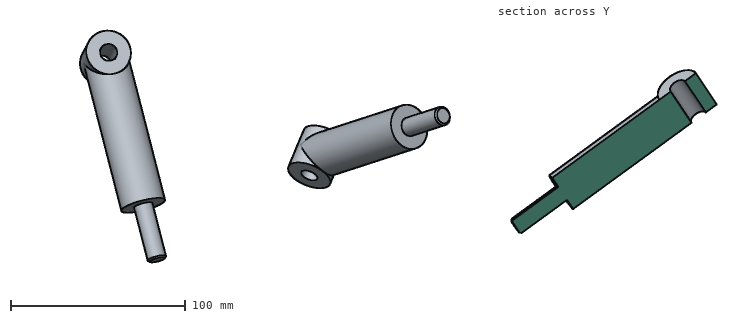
import cadquery as cq

body_diameter = 26.0
body_radius = body_diameter / 2
tilt = 30.0

arm_end = 89.5
shank_end = 122.7

shank_diameter = 11.0
shank_chamfer = 1.0
bore_diameter = 10.0


def rod_along_x(start, end, diameter):
    """Round rod centred on the X axis."""
    return cq.Workplane("YZ", origin=(start, 0, 0)).circle(diameter / 2).extrude(end - start)


def upright_rod(diameter):
    """Round rod on the Z axis, as tall as the head."""
    return cq.Workplane("XY", origin=(0, 0, -body_radius)).circle(diameter / 2).extrude(body_diameter)


head = upright_rod(body_diameter)

arm = rod_along_x(0, arm_end, body_diameter)

shank = rod_along_x(arm_end, shank_end, shank_diameter).faces(">X").chamfer(shank_chamfer)

bore = upright_rod(bore_diameter)

straight_part = head.union(arm).union(shank).cut(bore)
result = straight_part.rotate((0, 0, 0), (0, 1, 0), tilt)